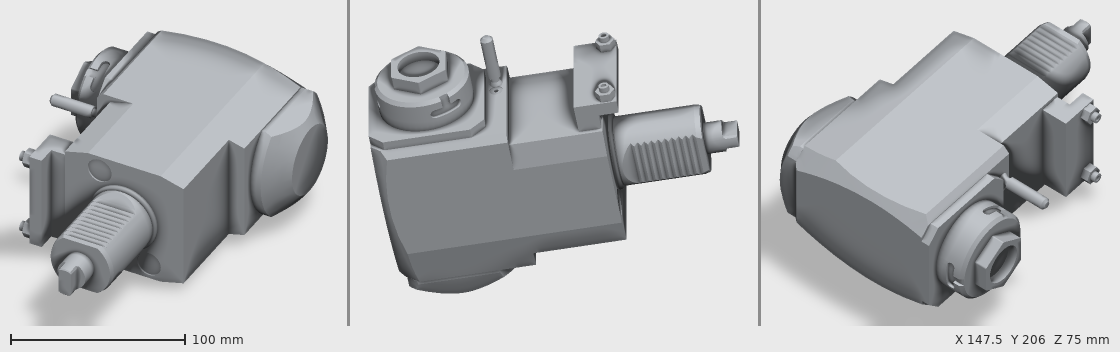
import cadquery as cq
import math


body_back = 134.0
head_front = 54.5
head_left = -47.4
head_right = 48.8
neck_half_width = 38.7
half_height = 37.5
flat_half_width = 23.7
slope_angle = 15.0
left_chamfer = 4.1
back_corner_chamfer = 3.3
dome_center_x = -9.7
dome_top_radius = 123.5
dome_bevel = 4.3
plug_diameter = 15.5
plug_recess = 1.0
plug_x = 16.0
plug_z = 27.6

spindle_y = 100.0
flange_left = -53.0
flange_front = 66.5
flange_half_height = 33.0
flange_corner = 8.2
nut_left = -72.0
nut_radius = 27.6
nut_chamfer = 2.0
slot_center_x = -62.8
slot_width = 5.4
slot_depth = 2.0
slot_span = 32.0
notch_width = 5.4
nut_slot_count = 3
hex_left = -80.3
hex_flats = 31.7
hex_edge_radius = 1.0
hex_bore_diameter = 24.5
hex_bore_depth = 6.2

pin_y = 60.5
pin_z = 17.3
pin_left = hex_left
pin_shoulder = -52.7
pin_radius = 3.7
pin_tip_chamfer = 1.6
pin_neck_radius = 2.5
pin_neck_end = -49.6
screw_z = 10.3
screw_diameter = 7.8
screw_recess = 0.5
screw_socket_diameter = 2.7
screw_socket_depth = 2.0

cap_shoulder_x = 55.6
cap_right = 67.2
cap_radius = 38.1
cap_end_radius = 21.6
cap_back = 129.8
cap_half_height = 29.7
cap_slope_start = 51.3

bracket_left = -56.0
bracket_foot_right = -48.0
bracket_back = 13.8
arm_front = 0.6
bracket_front = -11.1
bracket_half_height = 30.7
bolt_y = -5.2
bolt_z = 25.0
bolt_nut_flats = 9.9
bolt_nut_height = 5.0
bolt_left = -64.3
bolt_diameter = 6.0
bolt_socket_diameter = 3.3
bolt_socket_depth = 1.6

shank_radius = 20.2
shank_end = -53.1
shank_chamfer_length = 3.0
shank_chamfer_height = 0.8
undercut_radius = 19.4
undercut_end = -3.3
shank_collar_radius = 21.8
shank_collar_length = 2.5
shank_collar_rounding = 1.9
flat_half_height = 15.9
toothed_length = 40.0
valley_count = 10
tooth_pitch = toothed_length / valley_count
tooth_depth = 1.5
last_valley_y = -47.8
ramp_start_y = -5.0
tang_radius = 9.0
tang_shoulder = -63.9
tang_end = -72.0
tang_half_thickness = 4.1
tang_face_half_width = 6.8
tang_bevel = 1.0
tang_root_radius = 0.8
tang_chamfer = 0.6

slope = math.tan(math.radians(slope_angle))


def block(x_range, y_range, z_range):
    """Axis-aligned box between the given limits."""
    size = [high - low for low, high in (x_range, y_range, z_range)]
    corner = (x_range[0], y_range[0], z_range[0])
    return cq.Workplane("XY").box(*size, centered=False).translate(corner)


def plane_across_x(x, y, z=0.0):
    """Workplane facing +X, with local axes Y and Z."""
    return cq.Workplane("YZ", origin=(x, y, z))


def both_sides(outline):
    """Upper outline from left to right, closed by its mirror image below."""
    return outline + [(x, -z) for x, z in reversed(outline)]


def prism_along_y(outline, front, back):
    """Extrude an XZ outline from the front to the back Y position."""
    return cq.Workplane("XZ", origin=(0, back, 0)).polyline(outline).close().extrude(back - front)


def turned_along_x(profile, y, z=0.0):
    """Revolve an (x, radius) profile about an axis parallel to X."""
    return cq.Workplane("XY", origin=(0, y, z)).polyline(profile).close().revolve(360, (0, 0), (1, 0))


def make_housing():
    neck_drop = slope * (neck_half_width - flat_half_width)
    head_drop = slope * (head_right - flat_half_width)
    neck_outline = [
        (-neck_half_width, half_height - neck_drop),
        (-flat_half_width, half_height),
        (flat_half_width, half_height),
        (neck_half_width, half_height - neck_drop),
    ]
    head_outline = [
        (head_left, half_height - left_chamfer),
        (head_left + left_chamfer, half_height),
        (flat_half_width, half_height),
        (head_right, half_height - head_drop),
    ]
    neck = prism_along_y(both_sides(neck_outline), 0, head_front)
    head = prism_along_y(both_sides(head_outline), head_front, body_back)
    head = head.edges(">X and >Y").chamfer(back_corner_chamfer)

    dome_mid_radius = dome_top_radius + half_height
    dome_center_y = body_back - dome_bevel - dome_top_radius
    dome = (
        cq.Workplane("XZ", origin=(dome_center_x, dome_center_y, 0))
        .polyline([
            (0, half_height),
            (dome_top_radius, half_height),
            (dome_mid_radius, 0),
            (dome_top_radius, -half_height),
            (0, -half_height),
        ])
        .close()
        .revolve(360, (0, 0), (0, 1))
    )
    housing = neck.union(head.intersect(dome))

    plugs = (
        cq.Workplane("XZ")
        .pushPoints([(-plug_x, plug_z), (plug_x, -plug_z)])
        .circle(plug_diameter / 2)
        .extrude(-plug_recess)
    )
    return housing.cut(plugs)


def make_flange():
    flange = block(
        (flange_left, head_left), (flange_front, body_back), (-flange_half_height, flange_half_height)
    )
    return flange.edges("|X").chamfer(flange_corner)


def make_nut_slot(angle):
    """Rounded circumferential slot with a notch open to the nut face."""
    floor_radius = nut_radius - slot_depth
    cutter_height = 2 * slot_depth
    band_radius = floor_radius + cutter_height / 2
    band = (
        cq.Workplane("XY", origin=(slot_center_x, 0, 0))
        .center(0, band_radius)
        .rect(slot_width, cutter_height)
        .revolve(slot_span, (0, -band_radius), (1, -band_radius))
    )
    end = (
        cq.Workplane("XZ", origin=(slot_center_x, floor_radius, 0))
        .circle(slot_width / 2)
        .extrude(-cutter_height)
    )
    slot = band.union(end).union(end.rotate((0, 0, 0), (1, 0, 0), slot_span))
    slot = slot.rotate((0, 0, 0), (1, 0, 0), -slot_span / 2)
    notch = block(
        (nut_left, slot_center_x),
        (floor_radius, nut_radius + slot_depth),
        (-notch_width / 2, notch_width / 2),
    )
    cutter = slot.union(notch).rotate((0, 0, 0), (1, 0, 0), angle)
    return cutter.translate((0, spindle_y, 0))


def make_clamping_nut():
    nut = (
        plane_across_x(nut_left, spindle_y)
        .circle(nut_radius)
        .extrude(flange_left - nut_left)
        .faces("<X")
        .chamfer(nut_chamfer)
    )
    for index in range(nut_slot_count):
        nut = nut.cut(make_nut_slot(index * 360 / nut_slot_count))
    return nut


def make_hexagon():
    hexagon = (
        plane_across_x(hex_left, spindle_y)
        .transformed(rotate=(0, 0, 90))
        .polygon(6, hex_flats / math.cos(math.pi / 6))
        .extrude(nut_left - hex_left)
        .edges("|X")
        .fillet(hex_edge_radius)
    )
    bore = plane_across_x(hex_left, spindle_y).circle(hex_bore_diameter / 2).extrude(hex_bore_depth)
    return hexagon.cut(bore)


def make_pin():
    profile = [
        (pin_left, 0),
        (pin_left, pin_radius - pin_tip_chamfer),
        (pin_left + pin_tip_chamfer, pin_radius),
        (pin_shoulder, pin_radius),
        (pin_shoulder, pin_neck_radius),
        (pin_neck_end, pin_neck_radius),
        (head_left, pin_radius),
        (head_left, 0),
    ]
    return turned_along_x(profile, pin_y, pin_z)


def make_screw_recess():
    face = plane_across_x(head_left, pin_y, screw_z)
    recess = face.circle(screw_diameter / 2).extrude(screw_recess)
    socket = face.circle(screw_socket_diameter / 2).extrude(screw_socket_depth)
    return recess.union(socket)


def make_cap():
    profile = [
        (head_right, 0),
        (head_right, cap_radius),
        (cap_shoulder_x, cap_radius),
        (cap_right, cap_end_radius),
        (cap_right, 0),
    ]
    cap = turned_along_x(profile, spindle_y)
    side_outline = [
        (head_right, cap_half_height),
        (cap_slope_start, cap_half_height),
        (cap_right, cap_half_height - slope * (cap_right - cap_slope_start)),
    ]
    return cap.intersect(prism_along_y(both_sides(side_outline), spindle_y - cap_radius, cap_back))


def make_bracket():
    z_range = (-bracket_half_height, bracket_half_height)
    arm = block((bracket_left, -neck_half_width), (arm_front, bracket_back), z_range)
    foot = block((bracket_left, bracket_foot_right), (bracket_front, bracket_back), z_range)
    return arm.union(foot)


def make_bolt(z):
    nut = (
        plane_across_x(bracket_left, bolt_y, z)
        .polygon(6, bolt_nut_flats / math.cos(math.pi / 6))
        .extrude(-bolt_nut_height)
    )
    end_plane = plane_across_x(bolt_left, bolt_y, z)
    stud = end_plane.circle(bolt_diameter / 2).extrude(bracket_left - bolt_left)
    socket = end_plane.circle(bolt_socket_diameter / 2).extrude(bolt_socket_depth)
    return nut.union(stud).cut(socket)


def make_serration_cutter():
    """Material removed above the upper toothed flat of the shank."""
    half_pitch = tooth_pitch / 2
    first_crest_y = last_valley_y - half_pitch + toothed_length
    points = [(ramp_start_y, shank_radius), (first_crest_y, flat_half_height)]
    for index in range(valley_count):
        crest_y = first_crest_y - index * tooth_pitch
        points += [
            (crest_y - half_pitch, flat_half_height - tooth_depth),
            (crest_y - tooth_pitch, flat_half_height),
        ]
    points += [(shank_end, flat_half_height), (shank_end, shank_radius)]
    return (
        cq.Workplane("YZ")
        .polyline(points)
        .close()
        .extrude(shank_radius, both=True)
    )


def make_shank():
    profile = [
        (0, 0),
        (undercut_radius, 0),
        (undercut_radius, undercut_end),
        (shank_radius, undercut_end),
        (shank_radius, shank_end + shank_chamfer_length),
        (shank_radius - shank_chamfer_height, shank_end),
        (0, shank_end),
    ]
    shank = cq.Workplane("XY").polyline(profile).close().revolve(360, (0, 0), (0, 1))
    upper_cutter = make_serration_cutter()
    shank = shank.cut(upper_cutter).cut(upper_cutter.mirror("XY"))
    collar = (
        cq.Workplane("XZ")
        .circle(shank_collar_radius)
        .extrude(shank_collar_length)
        .faces("<Y")
        .edges()
        .fillet(shank_collar_rounding)
    )
    return shank.union(collar)


def make_tang():
    shaft = (
        cq.Workplane("XZ", origin=(0, shank_end, 0))
        .circle(tang_radius)
        .extrude(shank_end - tang_end)
        .faces("<Y")
        .chamfer(tang_chamfer)
    )
    edge_half_thickness = tang_half_thickness - tang_bevel
    blade_outline = both_sides([
        (-tang_half_thickness, tang_face_half_width),
        (-edge_half_thickness, tang_radius),
        (edge_half_thickness, tang_radius),
        (tang_half_thickness, tang_face_half_width),
    ])
    blade = prism_along_y(blade_outline, tang_end, tang_shoulder)
    z_range = (-tang_radius, tang_radius)
    root_front = tang_shoulder - tang_root_radius
    unbevelled = block((-tang_radius, tang_radius), (root_front, shank_end), z_range)
    side_cutter = (
        block((tang_half_thickness, tang_radius), (tang_end, tang_shoulder), z_range)
        .edges("|Z and <X and >Y")
        .fillet(tang_root_radius)
    )
    tang = shaft.intersect(blade.union(unbevelled))
    return tang.cut(side_cutter).cut(side_cutter.mirror("YZ"))


result = make_housing().cut(make_screw_recess())
for feature in (
    make_flange(),
    make_clamping_nut(),
    make_hexagon(),
    make_pin(),
    make_cap(),
    make_bracket(),
    make_bolt(bolt_z),
    make_bolt(-bolt_z),
    make_shank(),
    make_tang(),
):
    result = result.union(feature)